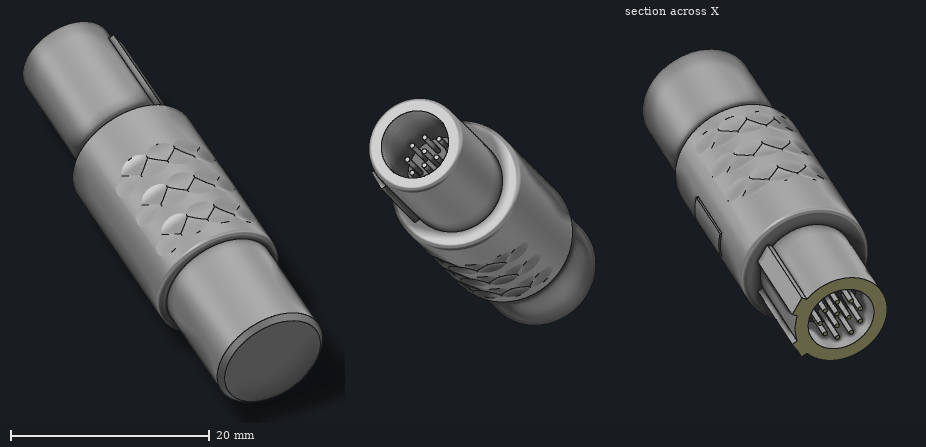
import cadquery as cq

LENGTH = 47.0
PLUG_RADIUS = 5.0
COLLAR_START = 15.0
COLLAR_DIAMETER = 13.7
COLLAR_RADIUS = COLLAR_DIAMETER / 2
TAIL_START = 35.0
TAIL_RADIUS = 5.95
PLUG_EDGE_FILLET = 0.45
COLLAR_EDGE_FILLET = 0.5
TAIL_EDGE_CHAMFER = 0.55

BORE_RADIUS = 3.52
BORE_DEPTH = 10.0
PIN_RADIUS = 0.26
PIN_LENGTH = 5.0
OUTER_PIN_COUNT = 9
OUTER_PIN_CIRCLE_RADIUS = 2.2
INNER_PIN_COUNT = 3
INNER_PIN_CIRCLE_RADIUS = 0.85
INNER_PIN_START_ANGLE = 60.0

KEY_START = 2.5
KEY_WIDTH = 2.1
KEY_TOP = 5.5
KEY_ANGLE = 30.0

GRIP_FIRST_X = 22.0
GRIP_STAGGER = 1.0
GRIP_SPACING = 4.5
GRIP_PATCHES = 3
SCALLOP_RADIUS = 4.1
SCALLOP_DEPTH = 0.2
SCALLOP_LENGTH = 5.65
SCALLOP_PITCH_ANGLE = 26.0

PAD_START = 21.53
PAD_LENGTH = 6.85
PAD_HEIGHT = 2.8
PAD_RISE = 0.2

FULL_TURN = 360
X_AXIS_START = (0, 0, 0)
X_AXIS_END = (1, 0, 0)


def rod(start, length, radius):
    """Cylinder on the X axis."""
    return cq.Workplane("YZ", origin=(start, 0, 0)).circle(radius).extrude(length)


def make_body():
    plug = rod(0, COLLAR_START, PLUG_RADIUS).faces("<X").edges().fillet(PLUG_EDGE_FILLET)
    collar = rod(COLLAR_START, TAIL_START - COLLAR_START, COLLAR_RADIUS)
    collar = collar.edges("%CIRCLE").fillet(COLLAR_EDGE_FILLET)
    tail = rod(TAIL_START, LENGTH - TAIL_START, TAIL_RADIUS)
    tail = tail.faces(">X").edges().chamfer(TAIL_EDGE_CHAMFER)
    return plug.union(collar).union(tail)


def make_key(angle):
    """Bar rising from the axis to a flat top, turned about X from +Y."""
    bar = cq.Workplane("XY").box(
        COLLAR_START - KEY_START, KEY_TOP, KEY_WIDTH, centered=(False, False, True)
    )
    return bar.translate((KEY_START, 0, 0)).rotate(X_AXIS_START, X_AXIS_END, angle)


def make_pins(count, circle_radius, start_angle):
    """Ring of pins standing on the bore floor."""
    return (
        cq.Workplane("YZ", origin=(BORE_DEPTH - PIN_LENGTH, 0, 0))
        .polarArray(circle_radius, start_angle, FULL_TURN, count)
        .circle(PIN_RADIUS)
        .extrude(PIN_LENGTH)
    )


def make_scallop(x, angle):
    """Cutter with its axis tangent to the collar, tilted from +Z about X."""
    height = COLLAR_RADIUS - SCALLOP_DEPTH + SCALLOP_RADIUS
    cutter = (
        cq.Workplane("XZ", origin=(x, SCALLOP_LENGTH / 2, height))
        .circle(SCALLOP_RADIUS)
        .extrude(SCALLOP_LENGTH)
    )
    return cutter.rotate(X_AXIS_START, X_AXIS_END, angle)


def cut_grip(body):
    columns = [(0.0, (-1, 0, 1)), (GRIP_STAGGER, (-1.5, -0.5, 0.5, 1.5))]
    for side_angle in (0, FULL_TURN / 2):
        for patch in range(GRIP_PATCHES):
            for shift, steps in columns:
                x = GRIP_FIRST_X + patch * GRIP_SPACING + shift
                for step in steps:
                    body = body.cut(make_scallop(x, side_angle + step * SCALLOP_PITCH_ANGLE))
    return body


def make_pad():
    """Pad following the collar surface, limited to a rectangle on the +Y side."""
    pad_radius = COLLAR_RADIUS + PAD_RISE
    outline = cq.Workplane("XY").box(
        PAD_LENGTH, pad_radius, PAD_HEIGHT, centered=(False, False, True)
    )
    return rod(PAD_START, PAD_LENGTH, pad_radius).intersect(outline.translate((PAD_START, 0, 0)))


result = make_body()
for key_angle in (-KEY_ANGLE, KEY_ANGLE):
    result = result.union(make_key(key_angle))
result = result.cut(rod(0, BORE_DEPTH, BORE_RADIUS))
result = result.union(make_pins(OUTER_PIN_COUNT, OUTER_PIN_CIRCLE_RADIUS, 0))
result = result.union(make_pins(INNER_PIN_COUNT, INNER_PIN_CIRCLE_RADIUS, INNER_PIN_START_ANGLE))
result = cut_grip(result)
result = result.union(make_pad())